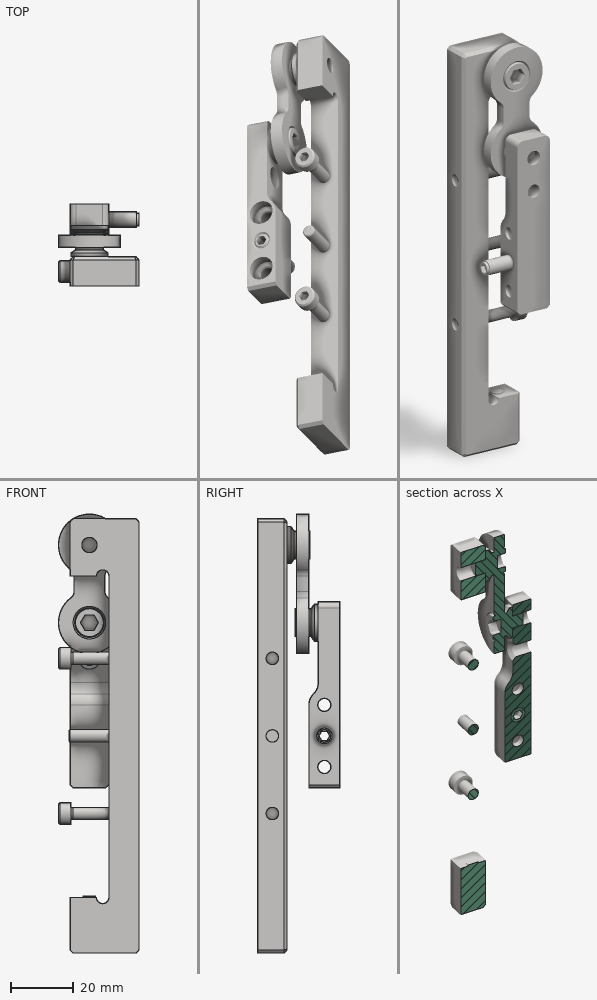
import cadquery as cq
import math


half_width = 6.25
bracket_depth = 9.5
back_face_x = 16.0
total_depth = 26.5
centre_z = -61.5

bracket_length = 140.0
upper_foot_height = 18.5
lower_foot_height = 18.0
bracket_chamfer = 1.0
relief_radius = 2.0
button_diameter = 4.0
button_height = 0.4
bracket_top = centre_z + bracket_length / 2
bracket_bottom = centre_z - bracket_length / 2
gap_top = bracket_top - upper_foot_height
gap_bottom = bracket_bottom + lower_foot_height
bracket_mid_y = bracket_depth / 2

pivot_spacing = 25.0
link_radius = 10.0
link_waist = 10.0
link_fillet = 2.5
link_thickness = 4.0
link_gap = 3.0
link_front = bracket_depth + link_gap
link_back = link_front + link_thickness
thread_core = 4.92
stem_depth = 4.0
flange_diameter = 12.0
flange_thickness = 1.25
neck_diameter = 9.0
neck_length = 0.75
head_diameter = 9.5
head_tip_diameter = 9.0
head_height = 0.4
head_groove_depth = 0.5
head_groove_diameter = 10.5
pivot_socket = 5.0
pivot_socket_depth = 3.0

block_length = 60.0
block_top_rise = 6.75
block_depth = 10.0
block_round = 2.0
block_chamfer = 1.0
block_thin_depth = 7.0
step_radius = 5.0
clamp_pitch = 20.0
clamp_hole = 4.13
clamp_mouth = 5.0
counterbore_diameter = 8.0
counterbore_depth = 4.0
countersink_diameter = 7.0
countersunk_hole = 4.5
block_front = total_depth - block_depth
thin_front = total_depth - block_thin_depth
block_top = block_top_rise - pivot_spacing
block_bottom = block_top - block_length
clamp_y = total_depth - block_depth / 2
step_end_z = centre_z + clamp_pitch / 2

screw_pitch = 50.0
screw_diameter = 4.0
screw_length = 20.0
screw_neck_diameter = 3.9
screw_neck_length = 0.7
screw_head_diameter = 7.0
screw_head_height = 4.0
screw_head_chamfer = 0.5
screw_socket = 3.0
screw_socket_depth = 2.0
screw_seat_x = -6.0

pin_diameter = 4.0
pin_tip_diameter = 3.24
pin_tip_x = -6.65

sleeve_diameter = 5.0
sleeve_end_diameter = 4.13
sleeve_end_length = 0.9
sleeve_socket = 3.0
sleeve_countersink = 6.0


def cylinder_x(diameter, x_start, x_end, y, z):
    """Cylinder along +X."""
    return cq.Workplane(cq.Solid.makeCylinder(
        diameter / 2, x_end - x_start, cq.Vector(x_start, y, z), cq.Vector(1, 0, 0)))


def cone_x(start_diameter, end_diameter, x_start, x_end, y, z):
    """Truncated cone along +X."""
    return cq.Workplane(cq.Solid.makeCone(
        start_diameter / 2, end_diameter / 2, x_end - x_start,
        cq.Vector(x_start, y, z), cq.Vector(1, 0, 0)))


def cylinder_y(diameter, y_start, y_end, z):
    """Cylinder along +Y, centred on X = 0."""
    return cq.Workplane(cq.Solid.makeCylinder(
        diameter / 2, y_end - y_start, cq.Vector(0, y_start, z), cq.Vector(0, 1, 0)))


def cone_y(start_diameter, end_diameter, y_start, y_end, z):
    """Truncated cone from y_start to y_end in either direction, centred on X = 0."""
    direction = math.copysign(1, y_end - y_start)
    return cq.Workplane(cq.Solid.makeCone(
        start_diameter / 2, end_diameter / 2, abs(y_end - y_start),
        cq.Vector(0, y_start, z), cq.Vector(0, direction, 0)))


def hexagon_x(across_flats, x_start, x_end, y, z):
    """Hexagonal prism along +X with two corners pointing along Y."""
    corner_diameter = across_flats / math.cos(math.pi / 6)
    return (cq.Workplane("YZ", origin=(x_start, y, z))
            .polygon(6, corner_diameter).extrude(x_end - x_start))


def box_between(x_range, y_range, z_range):
    """Box given by its limits along each axis."""
    size = [high - low for low, high in (x_range, y_range, z_range)]
    return (cq.Workplane("XY", origin=(x_range[0], y_range[0], z_range[0]))
            .box(*size, centered=False))


def screw_heights():
    return [centre_z + side * screw_pitch / 2 for side in (-1, 1)]


def clamp_heights():
    return [centre_z + side * clamp_pitch / 2 for side in (-1, 1)]


def make_bracket():
    body = box_between((-half_width, back_face_x), (0, bracket_depth), (bracket_bottom, bracket_top))
    body = body.edges("|Y").chamfer(bracket_chamfer)
    body = body.faces(">Y").edges().chamfer(bracket_chamfer)
    body = body.cut(box_between((-half_width, half_width), (0, bracket_depth), (gap_bottom, gap_top)))

    for z in (gap_bottom, gap_top):
        relief = (cq.Workplane("XZ", origin=(half_width - relief_radius, 0, z))
                  .circle(relief_radius).extrude(-bracket_depth))
        body = body.cut(relief)

    button = (cq.Workplane("XY", origin=(0, bracket_mid_y, gap_bottom))
              .circle(button_diameter / 2).extrude(button_height))
    body = body.union(button)

    body = body.cut(cylinder_y(thread_core, 0, bracket_depth, 0))
    for z in screw_heights():
        body = body.cut(cylinder_x(screw_diameter, half_width, back_face_x, bracket_mid_y, z))
    return body.cut(cylinder_x(pin_diameter, half_width, back_face_x, bracket_mid_y, centre_z))


def make_link_plate():
    half_waist = link_waist / 2
    fillet_rise = math.sqrt((link_radius + link_fillet) ** 2 - (half_waist + link_fillet) ** 2)
    reach = link_radius / (link_radius + link_fillet)
    tangent_x = (half_waist + link_fillet) * reach
    tangent_rise = fillet_rise * reach
    end_angle = math.atan2(fillet_rise, half_waist + link_fillet)
    middle_x = half_waist + link_fillet - link_fillet * math.cos(end_angle / 2)
    middle_rise = fillet_rise - link_fillet * math.sin(end_angle / 2)
    low = -pivot_spacing
    return (cq.Workplane("XZ", origin=(0, link_front, 0))
            .moveTo(half_waist, -fillet_rise)
            .threePointArc((middle_x, -middle_rise), (tangent_x, -tangent_rise))
            .threePointArc((0, link_radius), (-tangent_x, -tangent_rise))
            .threePointArc((-middle_x, -middle_rise), (-half_waist, -fillet_rise))
            .lineTo(-half_waist, low + fillet_rise)
            .threePointArc((-middle_x, low + middle_rise), (-tangent_x, low + tangent_rise))
            .threePointArc((0, low - link_radius), (tangent_x, low + tangent_rise))
            .threePointArc((middle_x, low + middle_rise), (half_waist, low + fillet_rise))
            .close().extrude(-link_thickness))


def make_pivot(seat_y, head_y, z, side):
    neck_end = head_y - side * link_thickness
    neck_start = neck_end - side * neck_length
    profile = [
        (0, seat_y - side * stem_depth),
        (thread_core / 2, seat_y - side * stem_depth),
        (thread_core / 2, seat_y),
        (flange_diameter / 2, seat_y),
        (flange_diameter / 2, seat_y + side * flange_thickness),
        (neck_diameter / 2, neck_start),
        (neck_diameter / 2, neck_end),
        (head_diameter / 2, neck_end),
        (head_diameter / 2, head_y - side * head_groove_depth),
        (head_tip_diameter / 2, head_y + side * head_height),
        (0, head_y + side * head_height),
    ]
    return (cq.Workplane("XY", origin=(0, 0, z)).polyline(profile).close()
            .revolve(360, (0, 0, 0), (0, 1, 0)))


def make_pivot_socket(head_y, z, side):
    corner_diameter = pivot_socket / math.cos(math.pi / 6)
    return (cq.Workplane("XZ", origin=(0, head_y + side * head_height, z))
            .polygon(6, corner_diameter).extrude(side * pivot_socket_depth))


def make_link():
    link = make_link_plate()
    pivots = [(bracket_depth, link_back, 0, 1), (thin_front, link_front, -pivot_spacing, -1)]
    for seat_y, head_y, z, side in pivots:
        groove_end = head_y - side * head_groove_depth
        link = link.cut(cone_y(head_groove_diameter, head_diameter, head_y, groove_end, z))
        link = link.union(make_pivot(seat_y, head_y, z, side))
        link = link.cut(make_pivot_socket(head_y, z, side))
    return link


def make_block():
    half_step = (thin_front - block_front) / 2
    half_run = math.sqrt(step_radius ** 2 - (step_radius - half_step) ** 2)
    step_mid = (thin_front - half_step, step_end_z + half_run)
    step_top = (thin_front, step_end_z + 2 * half_run)
    block = (cq.Workplane("YZ", origin=(-half_width, 0, 0))
             .moveTo(total_depth, block_bottom)
             .lineTo(total_depth, block_top)
             .lineTo(thin_front, block_top)
             .lineTo(*step_top)
             .radiusArc(step_mid, step_radius)
             .radiusArc((block_front, step_end_z), -step_radius)
             .lineTo(block_front, block_bottom)
             .close().extrude(2 * half_width))
    block = block.faces(">Z").edges("|Y").fillet(block_round)
    block = block.faces("<Z").edges("|Y").chamfer(block_chamfer)

    counterbore_floor = counterbore_depth - half_width
    mouth_end = counterbore_floor + (clamp_mouth - clamp_hole) / 2
    for z in clamp_heights():
        block = block.cut(cylinder_x(clamp_hole, -half_width, half_width, clamp_y, z))
        block = block.cut(cylinder_x(
            counterbore_diameter, -half_width, counterbore_floor, clamp_y, z))
        block = block.cut(cone_x(
            clamp_mouth, clamp_hole, counterbore_floor, mouth_end, clamp_y, z))

    block = block.cut(cylinder_x(sleeve_diameter, -half_width, half_width, clamp_y, centre_z))
    mouth_depth = (sleeve_countersink - sleeve_diameter) / 2
    block = block.cut(cone_x(
        sleeve_countersink, sleeve_diameter, -half_width, mouth_depth - half_width, clamp_y, centre_z))

    countersink_z = centre_z + screw_pitch / 2
    block = block.cut(cylinder_y(countersunk_hole, thin_front, total_depth, countersink_z))
    countersink_end = thin_front + (countersink_diameter - countersunk_hole) / 2
    block = block.cut(cone_y(
        countersink_diameter, countersunk_hole, thin_front, countersink_end, countersink_z))
    return block.cut(cylinder_y(thread_core, thin_front, total_depth, -pivot_spacing))


def make_cap_screw(z):
    y = bracket_mid_y
    head_x = screw_seat_x - screw_head_height
    neck_end = screw_seat_x + screw_neck_length
    head = cylinder_x(screw_head_diameter, head_x, screw_seat_x, y, z)
    head = head.faces("<X").edges().chamfer(screw_head_chamfer)
    screw = head.union(cylinder_x(screw_neck_diameter, screw_seat_x, neck_end, y, z))
    screw = screw.union(cylinder_x(screw_diameter, neck_end, screw_seat_x + screw_length, y, z))
    socket_end = head_x + screw_socket_depth
    screw = screw.cut(hexagon_x(screw_socket, head_x, socket_end, y, z))
    return screw.cut(cone_x(screw_socket, 0, socket_end, socket_end + screw_socket / 2, y, z))


def make_pin():
    pin = cylinder_x(pin_diameter, pin_tip_x, back_face_x, bracket_mid_y, centre_z)
    return pin.faces("<X").edges().chamfer((pin_diameter - pin_tip_diameter) / 2)


def make_sleeve():
    step_x = back_face_x - sleeve_end_length
    sleeve = cylinder_x(sleeve_diameter, -half_width, step_x, clamp_y, centre_z)
    sleeve = sleeve.faces("<X").edges().chamfer((sleeve_diameter - sleeve_end_diameter) / 2)
    sleeve = sleeve.union(cylinder_x(sleeve_end_diameter, step_x, back_face_x, clamp_y, centre_z))
    return sleeve.cut(hexagon_x(sleeve_socket, -half_width, back_face_x, clamp_y, centre_z))


bracket = make_bracket()
link = make_link()
block = make_block()
cap_screws = [make_cap_screw(z) for z in screw_heights()]
pin = make_pin()
sleeve = make_sleeve()

bodies = [bracket, link, block, *cap_screws, pin, sleeve]
result = cq.Compound.makeCompound([body.solids().val() for body in bodies])